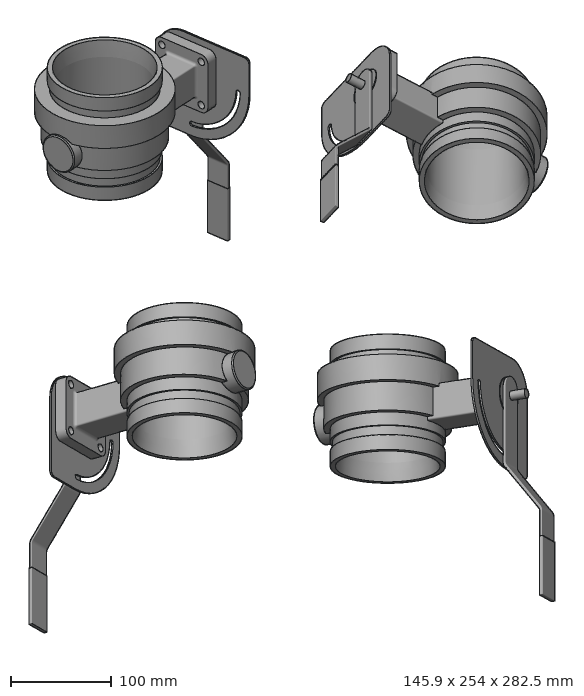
import cadquery as cq
import math


body_top = 66.5
body_bottom = -53.7
collar_diameter = 114.5
groove_diameter = 110.2
flange_diameter = 139.8
barrel_diameter = 127.0
upper_collar_bottom = 50.8
flange_top = 41.5
flange_bottom = 15.0
barrel_bottom = -14.7
lower_groove_top = -28.2
lower_groove_bottom = -38.0
bore_diameter = 100.0
bore_mouth_diameter = 104.0
bore_taper_depth = 19.0

boss_diameter = 40.7
boss_face_diameter = 38.0
boss_end = -73.2

neck_width = 37.3
neck_corner_radius = 1.7
neck_root_fillet = 3.0
pad_width = 67.5
pad_corner_radius = 8.5
pad_start = 120.3
pad_end = 133.0
bolt_hole_diameter = 8.2

plate_thickness = 2.0
plate_left = -41.2
plate_radius = 76.0
plate_top = flange_top
plate_small_radius = 5.6
plate_large_radius = 32.8
slot_radius = 62.0
slot_width = 5.5

washer_diameter = 38.0
washer_thickness = 0.8
pin_diameter = 9.5
pin_end = 155.5
lever_width = 25.7
lever_thickness = 3.0
lever_top = 19.8
lever_upper_bend = -74.0
lever_lower_bend = -125.7
lever_outer_end = 180.0
lever_bottom = -216.0
lever_edge_radius = 0.5
bend_radius = 5.6
grip_top = -154.8
grip_outer_skin = 0.8
grip_skin = 0.3

plate_end = pad_end + plate_thickness
washer_end = plate_end + washer_thickness
lever_outer_start = washer_end + lever_thickness


def plane_at(y):
    """Workplane normal to the stem at distance y, with local x = X, local y = Z; it extrudes toward -Y."""
    return cq.Workplane(cq.Plane(origin=(0, y, 0), xDir=(1, 0, 0), normal=(0, -1, 0)))


def stem_disc(diameter, start, end):
    return plane_at(end).circle(diameter / 2).extrude(end - start)


def ring(diameter, top, bottom):
    return cq.Workplane("XY").workplane(offset=bottom).circle(diameter / 2).extrude(top - bottom)


def make_body():
    steps = [
        (collar_diameter, body_top, upper_collar_bottom),
        (groove_diameter, upper_collar_bottom, flange_top),
        (flange_diameter, flange_top, flange_bottom),
        (barrel_diameter, flange_bottom, barrel_bottom),
        (collar_diameter, barrel_bottom, lower_groove_top),
        (groove_diameter, lower_groove_top, lower_groove_bottom),
        (collar_diameter, lower_groove_bottom, body_bottom),
    ]
    body = ring(*steps[0])
    for step in steps[1:]:
        body = body.union(ring(*step))
    return body


def make_bore():
    """Straight bore with the same shallow taper at both mouths."""
    bore_radius = bore_diameter / 2
    mouth_radius = bore_mouth_diameter / 2
    return (
        cq.Workplane("XZ")
        .moveTo(0, body_bottom)
        .lineTo(mouth_radius, body_bottom)
        .lineTo(bore_radius, body_bottom + bore_taper_depth)
        .lineTo(bore_radius, body_top - bore_taper_depth)
        .lineTo(mouth_radius, body_top)
        .lineTo(0, body_top)
        .close()
        .revolve(360, (0, 0, 0), (0, 1, 0))
    )


def make_boss():
    chamfer = (boss_diameter - boss_face_diameter) / 2
    return stem_disc(boss_diameter, boss_end, 0).faces("<Y").edges().chamfer(chamfer)


def make_neck_and_pad():
    neck = plane_at(pad_start).rect(neck_width, neck_width).extrude(pad_start)
    neck = neck.edges("|Y").fillet(neck_corner_radius)
    pad = plane_at(pad_end).rect(pad_width, pad_width).extrude(pad_end - pad_start)
    pad = pad.edges("|Y").fillet(pad_corner_radius)

    root_half = neck_width / 2 + neck_root_fillet
    root_edges = cq.selectors.BoxSelector(
        (-root_half, pad_start - neck_root_fillet, -root_half),
        (root_half, pad_start + neck_root_fillet, root_half),
    )
    mount = pad.union(neck).edges(root_edges).fillet(neck_root_fillet)

    hole_spacing = pad_width - 2 * pad_corner_radius
    holes = (
        plane_at(pad_end)
        .rect(hole_spacing, hole_spacing, forConstruction=True)
        .vertices()
        .circle(bolt_hole_diameter / 2)
        .extrude(pad_end - pad_start)
    )
    return mount.cut(holes)


def make_plate():
    """Plate with a quarter-round lower right side and a quarter-circle index slot."""
    diagonal = math.sqrt(0.5)
    plate = (
        plane_at(plate_end)
        .moveTo(plate_left, plate_top)
        .lineTo(plate_radius, plate_top)
        .lineTo(plate_radius, 0)
        .threePointArc((plate_radius * diagonal, -plate_radius * diagonal), (0, -plate_radius))
        .lineTo(plate_left, -plate_radius)
        .close()
        .extrude(plate_thickness)
    )
    plate = plate.edges("|Y and <X and >Z").fillet(plate_large_radius)
    plate = plate.edges("|Y and <X and <Z").fillet(plate_small_radius)
    plate = plate.edges("|Y and >X and >Z").fillet(plate_small_radius)

    inset = math.asin(slot_width / 2 / slot_radius)

    def slot_point(radius, angle):
        return (radius * math.cos(angle), -radius * math.sin(angle))

    outer = slot_radius + slot_width / 2
    inner = slot_radius - slot_width / 2
    first = inset
    middle = math.pi / 4
    last = math.pi / 2 - inset
    slot = (
        plane_at(plate_end)
        .moveTo(*slot_point(outer, first))
        .threePointArc(slot_point(outer, middle), slot_point(outer, last))
        .threePointArc(slot_point(slot_radius, last + inset), slot_point(inner, last))
        .threePointArc(slot_point(inner, middle), slot_point(inner, first))
        .threePointArc(slot_point(slot_radius, first - inset), slot_point(outer, first))
        .close()
        .extrude(plate_thickness)
    )
    return plate.cut(slot)


def make_lever():
    """Flat strip with a round head and two opposite bends, ending in a slightly thicker grip."""
    half_width = lever_width / 2
    bend_angle = math.atan2(lever_outer_end - lever_outer_start, lever_upper_bend - lever_lower_bend)
    miter = lever_thickness * math.tan(bend_angle / 2)
    inner_end = lever_outer_end - lever_thickness
    strip = (
        cq.Workplane("YZ")
        .workplane(offset=-half_width)
        .polyline([
            (lever_outer_start, lever_top),
            (lever_outer_start, lever_upper_bend),
            (lever_outer_end, lever_lower_bend),
            (lever_outer_end, lever_bottom),
            (inner_end, lever_bottom),
            (inner_end, lever_lower_bend - miter),
            (washer_end, lever_upper_bend - miter),
            (washer_end, lever_top),
        ])
        .close()
        .extrude(lever_width)
    )

    bends = [
        (lever_outer_start, lever_upper_bend, bend_radius),
        (inner_end, lever_lower_bend - miter, bend_radius),
        (washer_end, lever_upper_bend - miter, bend_radius + lever_thickness),
        (lever_outer_end, lever_lower_bend, bend_radius + lever_thickness),
    ]
    for y, z, radius in bends:
        strip = strip.edges("|X").edges(cq.selectors.NearestToPointSelector((0, y, z))).fillet(radius)

    head_centre = lever_top - half_width
    silhouette = (
        plane_at(lever_outer_end)
        .moveTo(-half_width, lever_bottom)
        .lineTo(-half_width, head_centre)
        .threePointArc((0, lever_top), (half_width, head_centre))
        .lineTo(half_width, lever_bottom)
        .close()
        .extrude(lever_outer_end - washer_end)
    )
    strip = strip.intersect(silhouette)
    strip = strip.faces("<X or >X").edges().fillet(lever_edge_radius)

    grip_depth = grip_skin + lever_thickness + grip_outer_skin
    grip = (
        plane_at(lever_outer_end + grip_outer_skin)
        .center(0, (grip_top + lever_bottom) / 2)
        .rect(lever_width + 2 * grip_skin, grip_top - lever_bottom)
        .extrude(grip_depth)
    )
    grip = grip.edges("|Z or <Z").fillet(lever_edge_radius)
    return strip.union(grip)


result = (
    make_body()
    .union(make_boss())
    .union(make_neck_and_pad())
    .cut(make_bore())
    .union(make_plate())
    .union(stem_disc(washer_diameter, plate_end, washer_end))
    .union(make_lever())
    .union(stem_disc(pin_diameter, plate_end, pin_end))
)